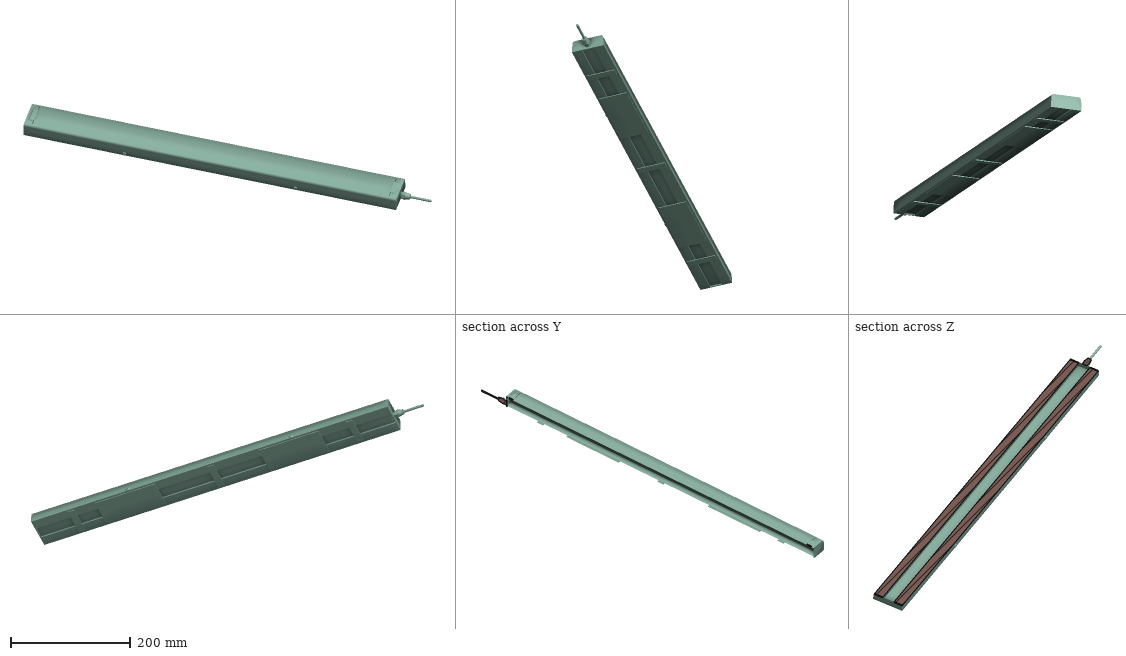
import cadquery as cq
import math


overall_length = 703.5
lamp_length = 650.0
lamp_width = 56.0
lamp_height = 23.0
lamp_center_y = 1.0

lamp_start = -overall_length / 2
lamp_end = lamp_start + lamp_length
lamp_center_x = lamp_start + lamp_length / 2
lamp_top = lamp_height / 2
lamp_bottom = -lamp_top

band_height = 4.0
wall_lean_angle = 4.3
top_edge_radius = 4.0
band_top = lamp_bottom + band_height
lean_inset = (lamp_height - band_height) * math.tan(math.radians(wall_lean_angle))

wall = 2.0
shelf_z = 3.2
channel_width = 21.0
web_thickness = 1.05
channel_height = band_height - web_thickness
cavity_side_height = 4.0

panel_width = 43.0
panel_thickness = 2.0

cap_thickness = 1.5
tongue_length = 13.5
panel_clearance = 1.05
tongue_width = 46.5
latch_inset = 5.3
latch_length = 10.0
latch_width = 27.5
latch_height = 1.5
latch_bevel_height = 1.05
latch_bevel = 1.5

base_width = 49.0
base_thickness = 1.5
foot_length = 12.0
foot_pitch = 254.0
strip_length = 109.0
strip_pitch = 298.0
strip_shift = -6.0

button_diameter = 7.0
button_tip_diameter = 5.0
button_socket_diameter = 3.0
button_socket_depth = 1.05
button_rise = 1.5
button_taper = 1.05
button_z = lamp_bottom + button_diameter / 2

cable_z = -2.45
cable_diameter = 4.0
gland_base_length = 5.0
gland_base_flats = 10.5
gland_ring_length = 3.5
gland_ring_flats = 12.0
gland_dome_length = 7.0
gland_tip_length = 1.5
gland_tip_diameter = 9.0


def block(x_start, x_end, width, z_low, z_high):
    """A box centred across the lamp."""
    return (
        cq.Workplane("XY")
        .box(x_end - x_start, width, z_high - z_low, centered=(False, True, False))
        .translate((x_start, lamp_center_y, z_low))
    )


def section_plane(x):
    """A workplane across the lamp at x, with its origin on the lamp's middle plane."""
    return cq.Workplane("YZ", origin=(x, lamp_center_y, 0))


def inner_half_width(z):
    """Half the clear width between the leaning walls at height z."""
    lean = max(z - band_top, 0) * math.tan(math.radians(wall_lean_angle))
    return lamp_width / 2 - wall - lean


def lamp_blank(x_start, x_end):
    """A solid length of the lamp's outer section."""
    half_bottom = lamp_width / 2
    half_top = half_bottom - lean_inset
    outline = [
        (-half_bottom, lamp_bottom),
        (half_bottom, lamp_bottom),
        (half_bottom, band_top),
        (half_top, lamp_top),
        (-half_top, lamp_top),
        (-half_bottom, band_top),
    ]
    blank = section_plane(x_start).polyline(outline).close().extrude(x_end - x_start)
    return blank.edges("|X and >Z").fillet(top_edge_radius)


def light_chamber(x_start, x_end):
    """T-shaped cavity below the panel, reaching down in the middle to the web over the bottom channel."""
    half_stem = channel_width / 2
    half_panel = panel_width / 2
    slope_z = shelf_z + cavity_side_height
    panel_bottom = lamp_top - panel_thickness
    right_half = [
        (half_stem, band_top),
        (half_stem, shelf_z),
        (inner_half_width(shelf_z), shelf_z),
        (inner_half_width(slope_z), slope_z),
        (half_panel, panel_bottom),
        (half_panel, lamp_top),
    ]
    left_half = [(-y, z) for y, z in reversed(right_half)]
    return section_plane(x_start).polyline(right_half + left_half).close().extrude(x_end - x_start)


def button(x):
    """Tapered round button standing on the front wall."""
    front_y = lamp_center_y - lamp_width / 2
    root = cq.Workplane("XZ", origin=(x, front_y + lean_inset, button_z))
    shank = root.circle(button_diameter / 2).extrude(lean_inset + button_rise - button_taper)
    head = (
        shank.faces("<Y")
        .workplane()
        .circle(button_diameter / 2)
        .workplane(offset=button_taper)
        .circle(button_tip_diameter / 2)
        .loft()
    )
    return head.faces("<Y").workplane().hole(button_socket_diameter, button_socket_depth)


def base_pad(x_center, length):
    """Flat pad under the profile."""
    return block(
        x_center - length / 2, x_center + length / 2, base_width, lamp_bottom - base_thickness, lamp_bottom
    )


def build_profile():
    x_start = lamp_start + cap_thickness
    x_end = lamp_end - cap_thickness
    profile = lamp_blank(x_start, x_end)
    for step in (-1, 1):
        profile = profile.union(button(lamp_center_x + step * strip_pitch / 2))
    profile = profile.cut(light_chamber(x_start, x_end))
    channel = block(x_start, x_end, channel_width, lamp_bottom, lamp_bottom + channel_height)
    profile = profile.cut(channel)
    for step in (-1, 1):
        profile = profile.union(base_pad(lamp_center_x + step * strip_pitch / 2 + strip_shift, strip_length))
    for step in (-1, 0, 1):
        profile = profile.union(base_pad(lamp_center_x + step * foot_pitch, foot_length))
    return profile


def build_panel():
    panel_inset = tongue_length + panel_clearance
    return block(
        lamp_start + panel_inset,
        lamp_end - panel_inset,
        panel_width,
        lamp_top - panel_thickness,
        lamp_top,
    )


def build_start_cap():
    plate = lamp_blank(lamp_start, lamp_start + cap_thickness)
    tongue = block(
        lamp_start, lamp_start + tongue_length, tongue_width, lamp_top - panel_thickness, lamp_top
    )
    latch_start = lamp_start + latch_inset
    latch = block(
        latch_start, latch_start + latch_length, latch_width, lamp_top, lamp_top + latch_height
    )
    latch = latch.edges(">Z and (<X or <Y or >Y)").chamfer(latch_bevel_height, latch_bevel)
    return plate.union(tongue).union(latch)


def hexagon(x_start, length, flats):
    """Hexagonal prism along X with flats at its top and bottom."""
    corners = flats / math.cos(math.pi / 6)
    return section_plane(x_start).center(0, cable_z).polygon(6, corners).extrude(length)


def build_cable():
    ring_start = lamp_end + gland_base_length
    dome_start = ring_start + gland_ring_length
    base = hexagon(lamp_end, gland_base_length, gland_base_flats)
    ring = hexagon(ring_start, gland_ring_length, gland_ring_flats)
    dome = (
        section_plane(dome_start)
        .center(0, cable_z)
        .circle(gland_ring_flats / 2)
        .workplane(offset=gland_dome_length)
        .circle(gland_tip_diameter / 2)
        .loft()
    )
    tip = (
        section_plane(dome_start + gland_dome_length)
        .center(0, cable_z)
        .circle(gland_tip_diameter / 2)
        .extrude(gland_tip_length)
    )
    cord = section_plane(lamp_end).center(0, cable_z).circle(cable_diameter / 2).extrude(
        overall_length / 2 - lamp_end
    )
    return base.union(ring).union(dome).union(tip).union(cord)


start_cap = build_start_cap()
end_cap = start_cap.mirror("YZ", (lamp_center_x, 0, 0))
profile = build_profile().cut(start_cap).cut(end_cap)
panel = build_panel()
cable = build_cable()

result = cq.Compound.makeCompound(
    [profile.val(), panel.val(), start_cap.val(), end_cap.val(), cable.val()]
)